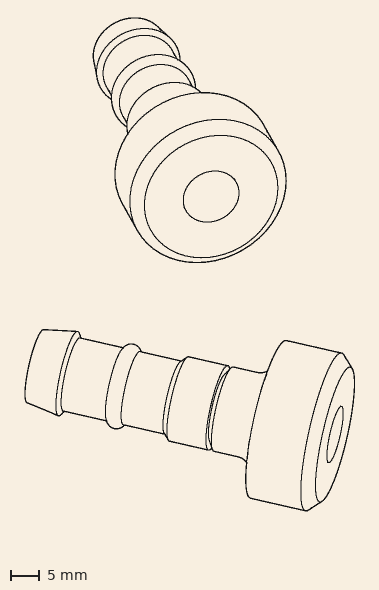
import cadquery as cq
import math

total_length = 54.0
bore_radius = 10.0 / 2
tube_radius = 13.0 / 2
collar_radius = 15.0 / 2
joint_x = 32.95

barb_crest_x = 5.9
barb_back_x = 6.55
bead_center_x = 15.95
bead_radius = 1.5
collar_start_x = 24.9
collar_chamfer = collar_radius - tube_radius

neck_face_radius = 12.0 / 2
neck_chamfer_length = 0.95
neck_end_x = 38.25
flare_end_x = 41.15
flare_end_radius = 19.8 / 2
rim_start_x = 42.0
rim_radius = 28.0 / 2
rim_chamfer = 2.05


def make_barb():
    """Tube with a tapered barb, a rounded bead and a chamfered collar."""
    bead_center_radius = collar_radius - bead_radius
    bead_half_width = math.sqrt(bead_radius**2 - (tube_radius - bead_center_radius) ** 2)
    return (
        cq.Workplane("XY")
        .moveTo(0, bore_radius)
        .lineTo(0, tube_radius)
        .lineTo(barb_crest_x, collar_radius)
        .lineTo(barb_back_x, tube_radius)
        .lineTo(bead_center_x - bead_half_width, tube_radius)
        .threePointArc(
            (bead_center_x, collar_radius),
            (bead_center_x + bead_half_width, tube_radius),
        )
        .lineTo(collar_start_x, tube_radius)
        .lineTo(collar_start_x + collar_chamfer, collar_radius)
        .lineTo(joint_x, collar_radius)
        .lineTo(joint_x, bore_radius)
        .close()
        .revolve(360, (0, 0, 0), (1, 0, 0))
    )


def make_head():
    """Chamfered neck that flares in an arc into a wide chamfered rim."""
    return (
        cq.Workplane("XY")
        .moveTo(joint_x, bore_radius)
        .lineTo(joint_x, neck_face_radius)
        .lineTo(joint_x + neck_chamfer_length, collar_radius)
        .lineTo(neck_end_x, collar_radius)
        .tangentArcPoint((flare_end_x, flare_end_radius), relative=False)
        .lineTo(rim_start_x, rim_radius)
        .lineTo(total_length - rim_chamfer, rim_radius)
        .lineTo(total_length, rim_radius - rim_chamfer)
        .lineTo(total_length, bore_radius)
        .close()
        .revolve(360, (0, 0, 0), (1, 0, 0))
    )


barb = make_barb()
head = make_head()

result = cq.Compound.makeCompound([barb.val(), head.val()])